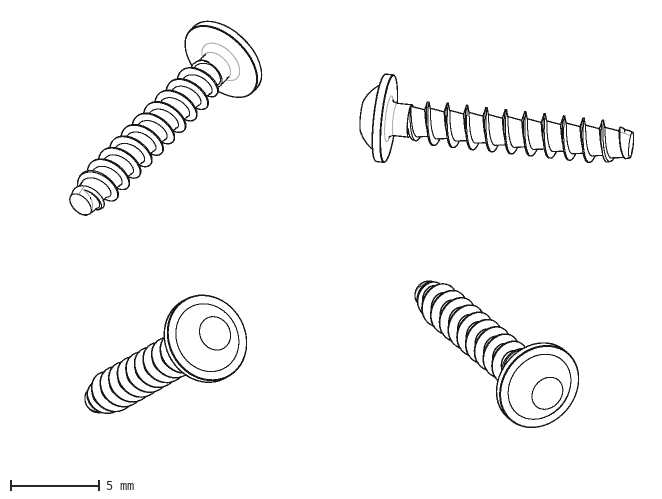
import cadquery as cq
import math

length = 15.5

flange_radius = 5.0 / 2
flange_start = 1.0
flange_end = 1.5
flange_edge_chamfer = 0.039
crown_flat_radius = 0.98
dome_base_radius = 1.98

shank_radius = 0.93
shank_end = 2.73
neck_fillet = 0.37

core_radius = 0.73
root_shoulder_radius = 0.85
crest_radius = 1.24
ridge_base_width = 0.31
ridge_crest_width = 0.08
first_crest = 1.21
last_crest = 14.68
turns_between_crests = 12
pitch = (last_crest - first_crest) / turns_between_crests
swept_turns = turns_between_crests + 1
root_burial = 0.06
ramp_end_step = 0.008

run_in_radius = 0.99
run_in_end = 3.88
run_out_start = 13.76
tip_radius = 0.75
trim_overrun = 0.23
trim_ring_wall = 0.62
trim_seam_angle = 100


def make_head_and_shank():
    """Domed flange head and filleted neck, down to the end of the plain shank."""
    sphere_center = (dome_base_radius**2 + flange_start**2 - crown_flat_radius**2) / (2 * flange_start)
    sphere_radius = math.hypot(crown_flat_radius, sphere_center)
    dome_mid_depth = flange_start / 2
    dome_mid_radius = math.sqrt(sphere_radius**2 - (sphere_center - dome_mid_depth) ** 2)
    fillet_mid = neck_fillet * (1 - math.sqrt(0.5))
    profile = (
        cq.Workplane("XZ")
        .lineTo(crown_flat_radius, 0)
        .threePointArc((dome_mid_radius, dome_mid_depth), (dome_base_radius, flange_start))
        .lineTo(flange_radius - flange_edge_chamfer, flange_start)
        .lineTo(flange_radius, flange_start + flange_edge_chamfer)
        .lineTo(flange_radius, flange_end - flange_edge_chamfer)
        .lineTo(flange_radius - flange_edge_chamfer, flange_end)
        .lineTo(shank_radius + neck_fillet, flange_end)
        .threePointArc(
            (shank_radius + fillet_mid, flange_end + fillet_mid),
            (shank_radius, flange_end + neck_fillet),
        )
        .lineTo(shank_radius, shank_end)
        .lineTo(0, shank_end)
        .close()
    )
    return profile.revolve(360, (0, 0, 0), (0, 1, 0))


def make_thread():
    """Helical ridge followed by a root ramp that falls back almost to the core radius."""
    buried_radius = core_radius - root_burial
    ramp_end_radius = core_radius + ramp_end_step
    ramp_clearance = 0.02
    half_base = ridge_base_width / 2
    half_crest = ridge_crest_width / 2
    ramp_end = pitch - half_base - ramp_clearance
    ridge = (
        cq.Workplane("XZ", origin=(0, 0, first_crest))
        .moveTo(buried_radius, -half_base)
        .lineTo(crest_radius, -half_crest)
        .lineTo(crest_radius, half_crest)
        .lineTo(root_shoulder_radius, half_base)
        .lineTo(ramp_end_radius, ramp_end)
        .lineTo(buried_radius, ramp_end)
        .close()
    )
    path = cq.Wire.makeHelix(pitch, pitch * swept_turns, core_radius, cq.Vector(0, 0, first_crest))
    return ridge.sweep(cq.Workplane(path), isFrenet=True)


def make_threaded_body():
    """Core and thread together, cut flat at the end of the plain shank and at the tip."""
    core = cq.Workplane("XY").circle(core_radius).extrude(length + pitch)
    slab = (
        cq.Workplane("XY")
        .workplane(offset=shank_end)
        .circle(flange_radius)
        .extrude(length - shank_end)
    )
    return core.union(make_thread(), clean=False).intersect(slab, clean=False)


def make_crest_trimmer(end_depth, end_radius, full_depth):
    """Ring with a conical bore that reaches the crest radius at full_depth.

    The cone runs a little past both depths so that the ring overlaps the thread cleanly.
    """
    slope = (crest_radius - end_radius) / (full_depth - end_depth)
    overrun = math.copysign(trim_overrun, full_depth - end_depth)
    inner_depth = full_depth + overrun
    outer_depth = end_depth - overrun
    outer_radius = crest_radius + trim_ring_wall
    profile = (
        cq.Workplane("XZ")
        .moveTo(crest_radius + slope * overrun, inner_depth)
        .lineTo(end_radius - slope * overrun, outer_depth)
        .lineTo(outer_radius, outer_depth)
        .lineTo(outer_radius, inner_depth)
        .close()
    )
    return profile.revolve(360, (0, 0, 0), (0, 1, 0)).rotate((0, 0, 0), (0, 0, 1), trim_seam_angle)


body = make_threaded_body()
body = body.cut(make_crest_trimmer(length, tip_radius, run_out_start), clean=False)
body = body.cut(make_crest_trimmer(shank_end, run_in_radius, run_in_end), clean=False)
screw = make_head_and_shank().union(body, clean=False)

result = screw.rotate((0, 0, 0), (1, 0, 0), 90).translate((0, flange_end, 0)).solids()